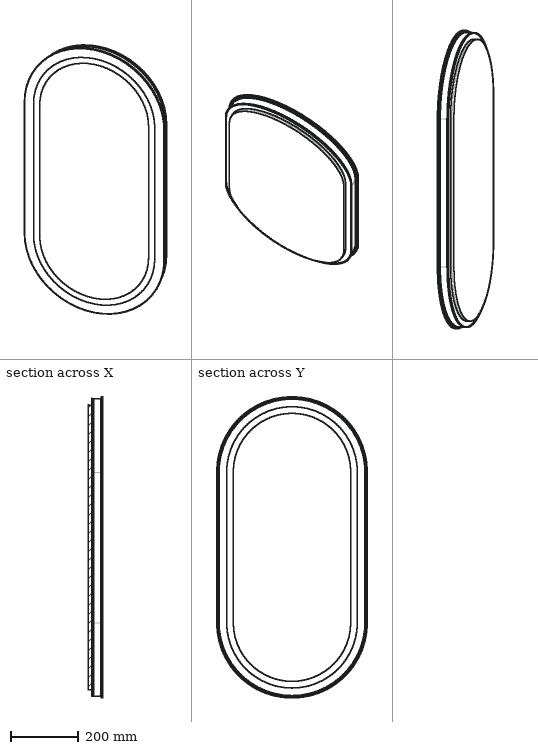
import cadquery as cq
import math

width = 450.0
height = 899.0
depth = 44.0
upright_angle = 90
front_y = -depth / 2
back_y = depth / 2

glass_thickness = 5.0
rim_width = 30.0
strip_width = 20.0

housing_inset = 5.0
housing_depth = 29.0
wall = 2.0

front_plate_thickness = 2.0
floor_plate_thickness = 4.0

cover_inset = 24.0
cover_base_depth = 4.0
cover_cap_depth = 1.0
cover_taper = 0.3


def stadium(inset, start_y, end_y, taper=0.0):
    """Stadium slab, set in from the overall outline; its sides move in by taper towards end_y."""
    slab_depth = end_y - start_y
    return (
        cq.Workplane("XZ", origin=(0, start_y, 0))
        .slot2D(height - 2 * inset, width - 2 * inset, upright_angle)
        .extrude(-slab_depth, taper=math.degrees(math.atan2(taper, slab_depth)))
    )


def stadium_ring(outer_inset, inner_inset, start_y, end_y):
    """Flat ring between two stadium outlines."""
    return stadium(outer_inset, start_y, end_y).cut(stadium(inner_inset, start_y, end_y))


glass_back_y = front_y + glass_thickness
strip_inset = rim_width
centre_inset = strip_inset + strip_width
mirror_rim = stadium_ring(0, strip_inset, front_y, glass_back_y)
light_strip = stadium_ring(strip_inset, centre_inset, front_y, glass_back_y)
centre_mirror = stadium(centre_inset, front_y, glass_back_y)

housing_back_y = glass_back_y + housing_depth
cavity_inset = housing_inset + wall
floor_y = housing_back_y - wall
cavity = stadium(cavity_inset, glass_back_y, floor_y)
housing = stadium(housing_inset, glass_back_y, housing_back_y).cut(cavity)

front_plate = stadium(cavity_inset, glass_back_y, glass_back_y + front_plate_thickness)
floor_plate = stadium(cavity_inset, floor_y - floor_plate_thickness, floor_y)

taper_start_y = housing_back_y + cover_base_depth
taper_end_y = back_y - cover_cap_depth
cover = (
    stadium(cover_inset, housing_back_y, taper_start_y)
    .union(stadium(cover_inset, taper_start_y, taper_end_y, cover_taper))
    .union(stadium(cover_inset + cover_taper, taper_end_y, back_y))
)

bodies = [mirror_rim, light_strip, centre_mirror, housing, front_plate, floor_plate, cover]
result = cq.Compound.makeCompound([body.val() for body in bodies])